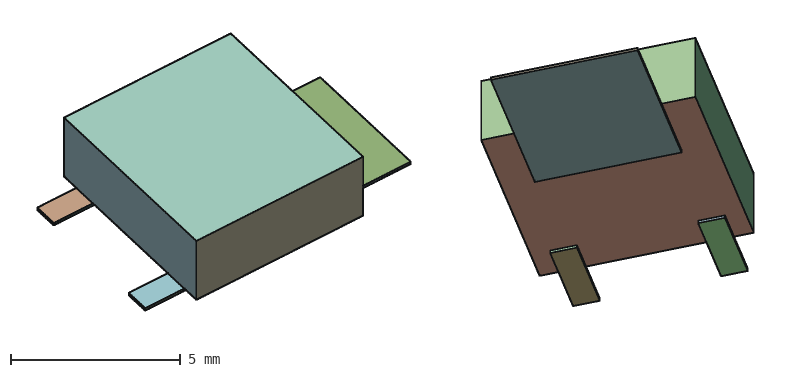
import cadquery as cq

body_width = 6.58
body_length = 6.1
overall_height = 2.49
sheet_thickness = 0.1

tab_width = 4.5
tab_length = 4.58
tab_overhang = 2.51

lead_width = 0.82
lead_length = 2.39
lead_overhang = 1.42
lead_pitch = 4.54

body_height = overall_height - sheet_thickness
body_back = body_length / 2
body_front = -body_length / 2
tab_front = body_back + tab_overhang - tab_length
lead_front = body_front - lead_overhang


def plate(width, length, thickness, center_x, front_y, bottom_z):
    """Rectangular block located by its X centre, front edge and underside."""
    return (
        cq.Workplane("XY")
        .box(width, length, thickness, centered=(True, False, False))
        .translate((center_x, front_y, bottom_z))
    )


def make_body():
    """Plain package block resting on top of the tab and leads."""
    return plate(body_width, body_length, body_height, 0, body_front, sheet_thickness)


def make_tab():
    """Wide flat tab running out from under the back of the body."""
    return plate(tab_width, tab_length, sheet_thickness, 0, tab_front, 0)


def make_lead(center_x):
    """Narrow flat lead running out from under the front of the body."""
    return plate(lead_width, lead_length, sheet_thickness, center_x, lead_front, 0)


body = make_body()
tab = make_tab()
leads = [make_lead(side * lead_pitch / 2) for side in (-1, 1)]

result = cq.Compound.makeCompound([body.val(), tab.val(), *[lead.val() for lead in leads]])